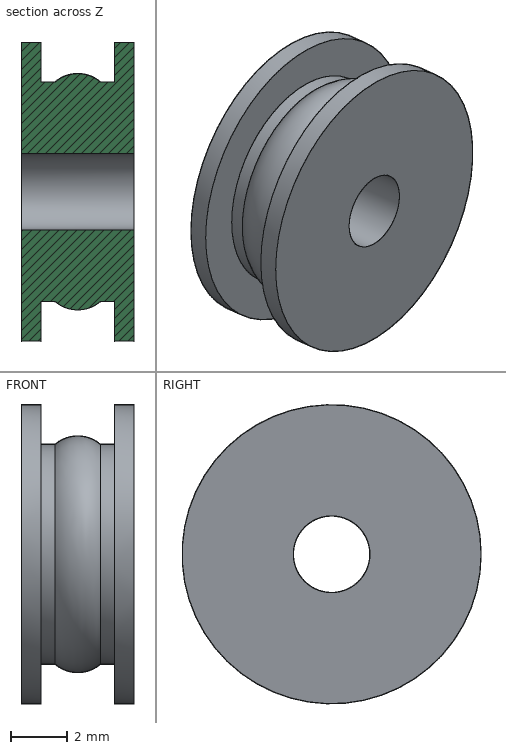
import cadquery as cq

flange_diameter = 10.6
total_width = 4.0
bore_diameter = 2.7

flange_width = 0.7
hub_diameter = 7.8

bead_diameter = 8.4
bead_width = 1.6

flange_radius = flange_diameter / 2
hub_radius = hub_diameter / 2
half_width = total_width / 2
flange_inner_x = half_width - flange_width
half_bead = bead_width / 2

section = (
    cq.Workplane("XY")
    .moveTo(-half_width, bore_diameter / 2)
    .lineTo(-half_width, flange_radius)
    .lineTo(-flange_inner_x, flange_radius)
    .lineTo(-flange_inner_x, hub_radius)
    .lineTo(-half_bead, hub_radius)
    .threePointArc((0, bead_diameter / 2), (half_bead, hub_radius))
    .lineTo(flange_inner_x, hub_radius)
    .lineTo(flange_inner_x, flange_radius)
    .lineTo(half_width, flange_radius)
    .lineTo(half_width, bore_diameter / 2)
    .close()
)

result = section.revolve(360, (0, 0, 0), (1, 0, 0))